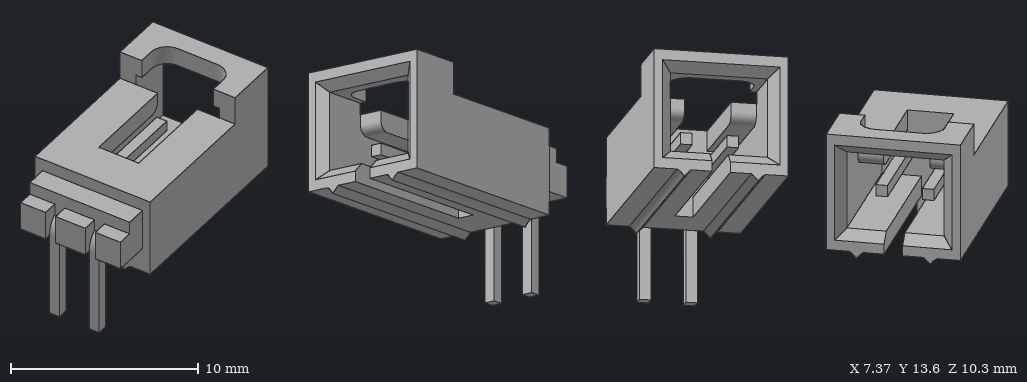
import cadquery as cq

width = 7.37
housing_length = 11.44
shoulder_height = 4.85
top_height = 6.62
raised_length = 3.2

cavity_half_width = 2.66
cavity_floor = 1.13
cavity_roof = 5.48
cavity_start = 2.54
mouth_chamfer = 0.55
roof_edge_radius = 0.57

key_slot_width = 2.54
window_width = 4.57
window_corner = 1.0
back_bar = 1.26
floor_slot_width = 1.0

tail_width = 6.39
tail_length = 2.15
tail_bottom = 1.54
tail_top = 4.09
tail_step_height = 3.32
tail_step_start = 1.25

pitch = 2.54
pin_size = 0.64
pin_end = 8.66
pin_top = 2.85
pin_front = -1.77
pin_bottom = -3.67
bend_radius = 1.25

rib_offset = 2.04
rib_height = 0.38
rib_half_width = 0.38
rib_hollow = 0.05

pin_positions = (-pitch / 2, pitch / 2)


def box(x_size, y_min, y_max, z_min, z_max, x_center=0):
    """Box centred on x_center and spanning the given Y and Z limits."""
    return cq.Workplane("XY").box(
        x_size, y_max - y_min, z_max - z_min, centered=(True, False, False)
    ).translate((x_center, y_min, z_min))


def make_mouth_flare():
    """Lead-in chamfer around the open back of the cavity."""
    width_at_back = 2 * (cavity_half_width + mouth_chamfer)
    height_at_back = cavity_roof - cavity_floor + 2 * mouth_chamfer
    return (
        cq.Workplane("XZ", origin=(0, housing_length, (cavity_floor + cavity_roof) / 2))
        .rect(width_at_back, height_at_back)
        .extrude(mouth_chamfer, taper=45)
    )


def make_housing():
    raised_start = housing_length - raised_length
    housing = box(width, 0, housing_length, 0, shoulder_height)
    housing = housing.union(box(width, raised_start, housing_length, 0, top_height))

    cavity = box(2 * cavity_half_width, cavity_start, housing_length, cavity_floor, shoulder_height)
    mouth = box(2 * cavity_half_width, raised_start, housing_length, cavity_floor, cavity_roof)
    mouth = mouth.union(make_mouth_flare())
    key_slot = box(key_slot_width, cavity_start, raised_start, cavity_floor, top_height)
    window_end = housing_length - back_bar
    window = box(window_width, raised_start, window_end, cavity_floor, top_height)
    window = window.edges("|Z and >Y").fillet(window_corner)
    floor_slot = box(floor_slot_width, cavity_start, housing_length, 0, cavity_floor)

    roof_thickness = top_height - cavity_roof
    roof = box(width, cavity_start, raised_start, shoulder_height - roof_thickness, shoulder_height)
    roof = roof.edges("|X and >Y and <Z").fillet(roof_edge_radius)
    cavity = cavity.cut(roof)
    for cutter in (cavity, mouth, key_slot, window, floor_slot):
        housing = housing.cut(cutter)
    return housing


def make_tail():
    tail = box(tail_width, -tail_length, 0, tail_bottom, tail_top)
    step = box(tail_width, -tail_length, -tail_step_start, tail_step_height, tail_top)
    tail = tail.cut(step)
    for x in pin_positions:
        notch = box(pin_size, -tail_length, -tail_step_start, tail_bottom, tail_top, x)
        tail = tail.cut(notch)
    return tail


def make_pin(x):
    horizontal = box(pin_size, pin_front, pin_end, pin_top - pin_size, pin_top, x)
    vertical = box(pin_size, pin_front, pin_front + pin_size, pin_bottom, pin_top, x)
    pin = horizontal.union(vertical)
    return pin.edges("|X and >Z and <Y").fillet(bend_radius)


def make_rib(side):
    """Pointed rib with a flat inner flank and a slightly hollow outer flank."""
    inner_x = side * (rib_offset - rib_half_width)
    outer_x = side * (rib_offset + rib_half_width)
    flank_middle = (side * (rib_offset + rib_half_width / 2), rib_hollow - rib_height / 2)
    return (
        cq.Workplane("XZ")
        .moveTo(inner_x, 0)
        .lineTo(side * rib_offset, -rib_height)
        .threePointArc(flank_middle, (outer_x, 0))
        .close()
        .extrude(-housing_length)
    )


result = make_housing().union(make_tail())
for pin_x in pin_positions:
    result = result.union(make_pin(pin_x))
for rib_side in (-1, 1):
    result = result.union(make_rib(rib_side))